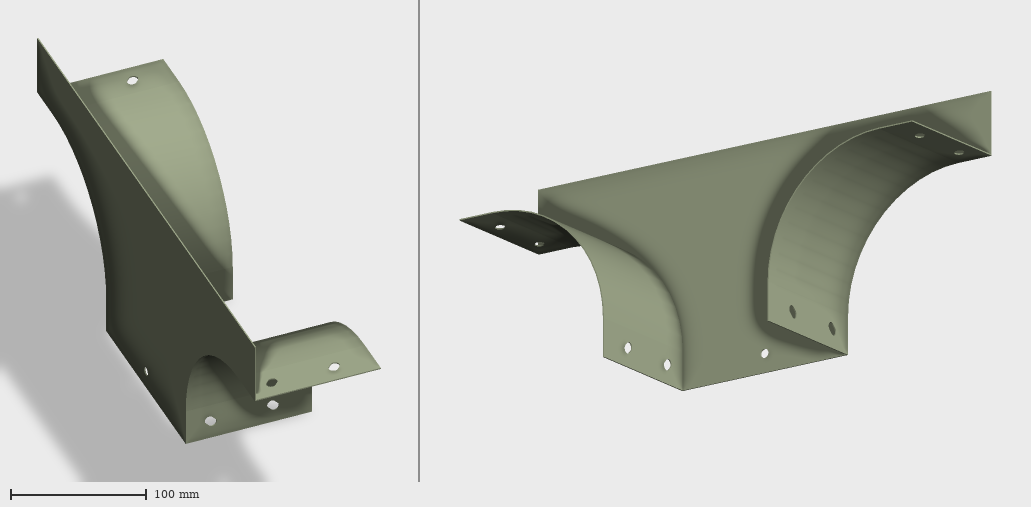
import cadquery as cq
import math

SHEET = 1.0
THROAT_WIDTH = 150.0
BEND_RADIUS = 100.0
TAB_LENGTH = 30.0
HEAD_HEIGHT = 50.0
FLANGE_DEPTH = 100.0

HALF_THROAT = THROAT_WIDTH / 2
ARC_CENTER_X = HALF_THROAT + BEND_RADIUS
HALF_WIDTH = ARC_CENTER_X + TAB_LENGTH
SHOULDER_Z = TAB_LENGTH + BEND_RADIUS
HEIGHT = SHOULDER_Z + HEAD_HEIGHT
TOTAL_DEPTH = SHEET + FLANGE_DEPTH

WEB_HOLE_DIAMETER = 7.0
SLOT_WIDTH = 7.0
SLOT_LENGTH = 10.5
SLOT_ANGLE = 45.0
SLOT_ROWS_Y = (20.0, 70.0)
TAB_MIDDLE = TAB_LENGTH / 2
CUT_DEPTH = 4 * SHEET


def arc_middle(side, radius):
    """Point halfway along a shoulder arc."""
    reach = radius * math.sqrt(0.5)
    return (side * (ARC_CENTER_X - reach), TAB_LENGTH + reach)


def make_web():
    """Flat tee-shaped web, from y = 0 to y = SHEET."""
    return (
        cq.Workplane("XZ")
        .moveTo(-HALF_THROAT, 0)
        .lineTo(-HALF_THROAT, TAB_LENGTH)
        .threePointArc(arc_middle(-1, BEND_RADIUS), (-ARC_CENTER_X, SHOULDER_Z))
        .lineTo(-HALF_WIDTH, SHOULDER_Z)
        .lineTo(-HALF_WIDTH, HEIGHT)
        .lineTo(HALF_WIDTH, HEIGHT)
        .lineTo(HALF_WIDTH, SHOULDER_Z)
        .lineTo(ARC_CENTER_X, SHOULDER_Z)
        .threePointArc(arc_middle(1, BEND_RADIUS), (HALF_THROAT, TAB_LENGTH))
        .lineTo(HALF_THROAT, 0)
        .close()
        .extrude(-SHEET)
    )


def make_flange(side):
    """Strip one sheet thick that follows the stem, shoulder arc and head on one side."""
    inner_x = HALF_THROAT - SHEET
    inner_z = SHOULDER_Z + SHEET
    return (
        cq.Workplane("XZ")
        .moveTo(side * HALF_THROAT, 0)
        .lineTo(side * HALF_THROAT, TAB_LENGTH)
        .threePointArc(arc_middle(side, BEND_RADIUS), (side * ARC_CENTER_X, SHOULDER_Z))
        .lineTo(side * HALF_WIDTH, SHOULDER_Z)
        .lineTo(side * HALF_WIDTH, inner_z)
        .lineTo(side * ARC_CENTER_X, inner_z)
        .threePointArc(arc_middle(side, BEND_RADIUS + SHEET), (side * inner_x, TAB_LENGTH))
        .lineTo(side * inner_x, 0)
        .close()
        .extrude(-TOTAL_DEPTH)
    )


def slot_cutter(plane, center, angle):
    """Slot-shaped cutter centred on a point, extending both ways along the plane's normal."""
    return (
        cq.Workplane(plane, origin=center)
        .slot2D(SLOT_LENGTH, SLOT_WIDTH, angle)
        .extrude(CUT_DEPTH / 2, both=True)
    )


def cut_flange_slots(body):
    """Two 45-degree slots in each straight end of both flanges."""
    for side in (-1, 1):
        tab_x = side * (HALF_WIDTH - TAB_MIDDLE)
        for y in SLOT_ROWS_Y:
            upper = slot_cutter("XY", (tab_x, y, SHOULDER_Z), -SLOT_ANGLE)
            lower = slot_cutter("YZ", (side * HALF_THROAT, y, TAB_MIDDLE), -side * SLOT_ANGLE)
            body = body.cut(upper).cut(lower)
    return body


def cut_web_hole(body):
    """Round hole through the web near the foot of the stem."""
    hole = (
        cq.Workplane("XZ", origin=(0, 0, TAB_MIDDLE))
        .circle(WEB_HOLE_DIAMETER / 2)
        .extrude(CUT_DEPTH / 2, both=True)
    )
    return body.cut(hole)


body = make_web().union(make_flange(-1)).union(make_flange(1))
result = cut_web_hole(cut_flange_slots(body))